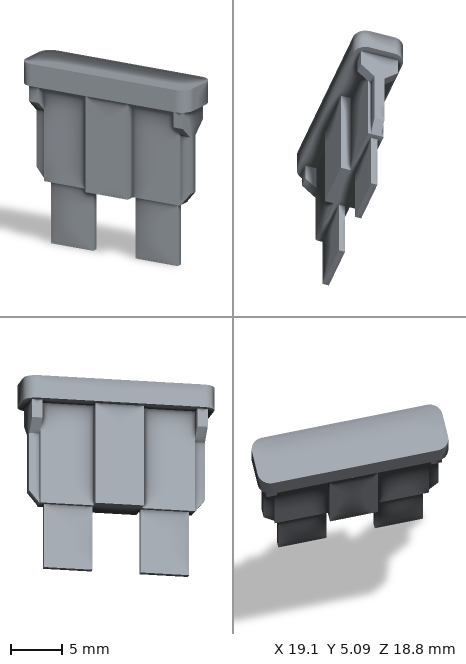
import cadquery as cq

total_height = 18.8

head_length = 19.05
head_depth = 5.09
head_height = 2.29
head_corner_radius = 1.28

body_height = 10.12
core_length = 15.43
core_depth = 1.6
rib_length = 4.8
rib_depth = 3.55

arm_span = 17.53
arm_shoulder_depth = 3.81
arm_shoulder_height = 1.81
arm_taper_height = 1.24
arm_stem_depth = 1.03
arm_chamfer_height = 1.24

blade_thickness = 0.65
blade_outer_span = 14.48
blade_gap = rib_length

head_bottom = total_height - head_height
body_bottom = head_bottom - body_height


def centred_block(length, depth, bottom, height):
    return cq.Workplane("XY", origin=(0, 0, bottom)).box(length, depth, height, centered=(True, True, False))


def make_head():
    block = centred_block(head_length, head_depth, head_bottom, head_height)
    return block.edges("|Z").fillet(head_corner_radius)


def make_arms():
    """End arms: a wide shoulder tapering to a thin stem, with chamfered lower outer corners."""
    shoulder_bottom = head_bottom - arm_shoulder_height
    stem_top = shoulder_bottom - arm_taper_height
    shoulder_half = arm_shoulder_depth / 2
    stem_half = arm_stem_depth / 2
    funnel = (
        cq.Workplane("YZ")
        .polyline([
            (-shoulder_half, head_bottom),
            (-shoulder_half, shoulder_bottom),
            (-stem_half, stem_top),
            (-stem_half, body_bottom),
            (stem_half, body_bottom),
            (stem_half, stem_top),
            (shoulder_half, shoulder_bottom),
            (shoulder_half, head_bottom),
        ])
        .close()
        .extrude(arm_span / 2, both=True)
    )

    core_half = core_length / 2
    span_half = arm_span / 2
    chamfer_top = body_bottom + arm_chamfer_height
    right_arm = (
        cq.Workplane("XZ")
        .polyline([
            (core_half, head_bottom),
            (span_half, head_bottom),
            (span_half, chamfer_top),
            (core_half, body_bottom),
        ])
        .close()
        .extrude(shoulder_half, both=True)
    )
    return funnel.intersect(right_arm.union(right_arm.mirror("YZ")))


def make_blades():
    """Two blades that start at the underside of the body."""
    blade_width = (blade_outer_span - blade_gap) / 2
    blade_offset = (blade_outer_span + blade_gap) / 4
    blade = centred_block(blade_width, blade_thickness, 0, body_bottom)
    return blade.translate((blade_offset, 0, 0)).union(blade.translate((-blade_offset, 0, 0)))


core = centred_block(core_length, core_depth, body_bottom, body_height)
rib = centred_block(rib_length, rib_depth, body_bottom, body_height)

result = make_head().union(core).union(rib).union(make_arms()).union(make_blades())